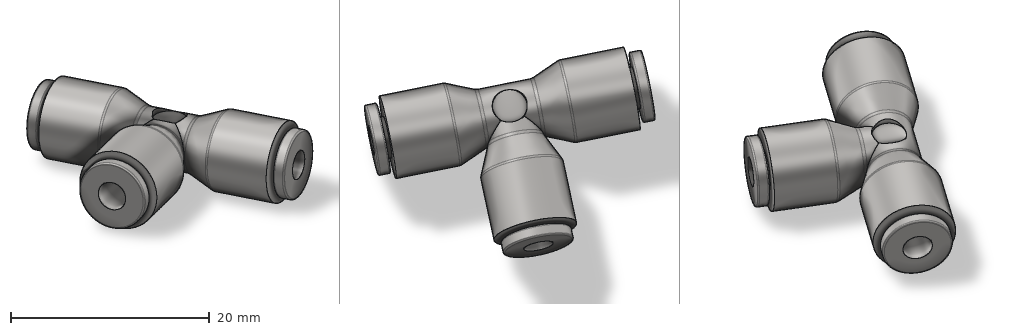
import cadquery as cq

port_reach = 14.2
bore_radius = 1.5

body_diameter = 8.5
body_radius = body_diameter / 2
run_neck_radius = 2.95
branch_neck_radius = 2.9
cone_start = 2.87
cone_length = 3.05
neck_blend_radius = 0.88
body_blend_radius = 0.6
run_body_end = 12.52
branch_shift = 0.1

collar_radius = 3.6
collar_length = 1.22
collar_edge_radius = 0.17
stem_radius = 2.13

recess_radius = 1.75
recess_floor = 2.35


def blend_ring(body, x, radius):
    """Round the circular edge that lies in the plane at this X."""
    half_window = neck_blend_radius / 2
    ring = cq.selectors.BoxSelector(
        (x - half_window, -body_radius, -body_radius),
        (x + half_window, body_radius, body_radius),
    )
    return body.edges("%CIRCLE").edges(ring).fillet(radius)


def make_body(neck_radius, shift):
    """Neck, flare and cylindrical body of one port, pointing along +X."""
    flare_start = cone_start + shift
    flare_end = flare_start + cone_length
    body_end = run_body_end + shift
    body = (
        cq.Workplane("XY")
        .lineTo(0, neck_radius)
        .lineTo(flare_start, neck_radius)
        .lineTo(flare_end, body_radius)
        .lineTo(body_end, body_radius)
        .lineTo(body_end, 0)
        .close()
        .revolve(axisStart=(0, 0, 0), axisEnd=(1, 0, 0))
    )
    body = blend_ring(body, flare_start, neck_blend_radius)
    return blend_ring(body, flare_end, body_blend_radius)


def make_collar():
    """Flanged release collar with its stem, pointing along +X."""
    flange_start = port_reach - collar_length
    flange = (
        cq.Workplane("YZ", origin=(flange_start, 0, 0))
        .circle(collar_radius)
        .extrude(collar_length)
        .edges()
        .fillet(collar_edge_radius)
    )
    stem = cq.Workplane("YZ").circle(stem_radius).extrude(flange_start)
    return stem.union(flange)


def make_port(neck_radius, shift, angle):
    """One complete port, turned about Z from the +X direction."""
    port = make_body(neck_radius, shift).union(make_collar())
    return port.rotate((0, 0, 0), (0, 0, 1), angle)


tee = (
    make_port(run_neck_radius, 0, 0)
    .union(make_port(run_neck_radius, 0, 180))
    .union(make_port(branch_neck_radius, branch_shift, -90))
)

recess = (
    cq.Workplane("XY", origin=(0, 0, recess_floor))
    .circle(recess_radius)
    .extrude(run_neck_radius - recess_floor)
)

run_bore = cq.Workplane("YZ").circle(bore_radius).extrude(port_reach, both=True)
branch_bore = cq.Workplane("XZ").circle(bore_radius).extrude(port_reach)

result = tee.cut(recess).cut(run_bore).cut(branch_bore)